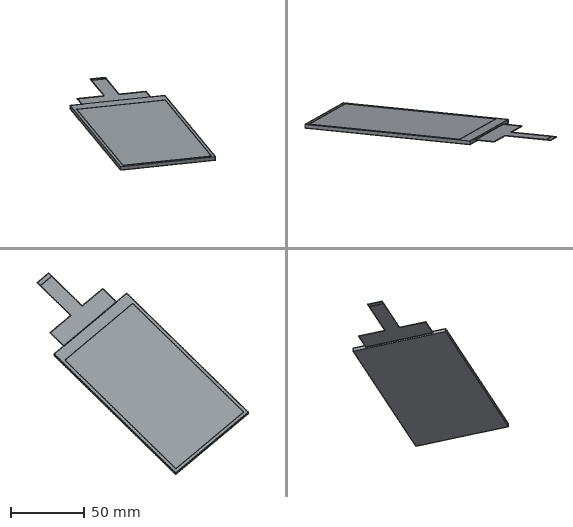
import cadquery as cq

overall_length = 170.17
panel_width = 67.56
panel_thickness = 2.6
panel_length = 122.4

window_margin_flex_end = 8.5
window_margin_far_end = 2.2
window_margin_side = 2.25
window_depth = 0.1

flex_thickness = 0.4
flex_base_length = 14.0
flex_base_width = 49.0
tail_width = 10.6

contact_length = 3.2
contact_step = 0.1

panel_start = overall_length - panel_length
flex_base_start = panel_start - flex_base_length
flex_bottom = (panel_thickness - flex_thickness) / 2
flex_top = flex_bottom + flex_thickness


def centred_slab(start_x, end_x, width, bottom_z, top_z):
    """Rectangular slab between two X positions, centred on Y = 0."""
    slab = cq.Workplane("XY").box(
        end_x - start_x, width, top_z - bottom_z, centered=(False, True, False)
    )
    return slab.translate((start_x, 0, bottom_z))


def display_panel():
    """Glass panel with the recessed viewing window."""
    panel = centred_slab(panel_start, overall_length, panel_width, 0, panel_thickness)
    window = centred_slab(
        panel_start + window_margin_flex_end,
        overall_length - window_margin_far_end,
        panel_width - 2 * window_margin_side,
        panel_thickness - window_depth,
        panel_thickness,
    )
    return panel.cut(window)


def flex_cable():
    """Thin T-shaped cable with a stepped contact strip at its free end."""
    base = centred_slab(flex_base_start, panel_start, flex_base_width, flex_bottom, flex_top)
    tail = centred_slab(contact_length, flex_base_start, tail_width, flex_bottom, flex_top)
    contact_strip = centred_slab(
        0, contact_length, tail_width, flex_bottom, flex_top - contact_step
    )
    return base.union(tail).union(contact_strip)


result = display_panel().union(flex_cable())